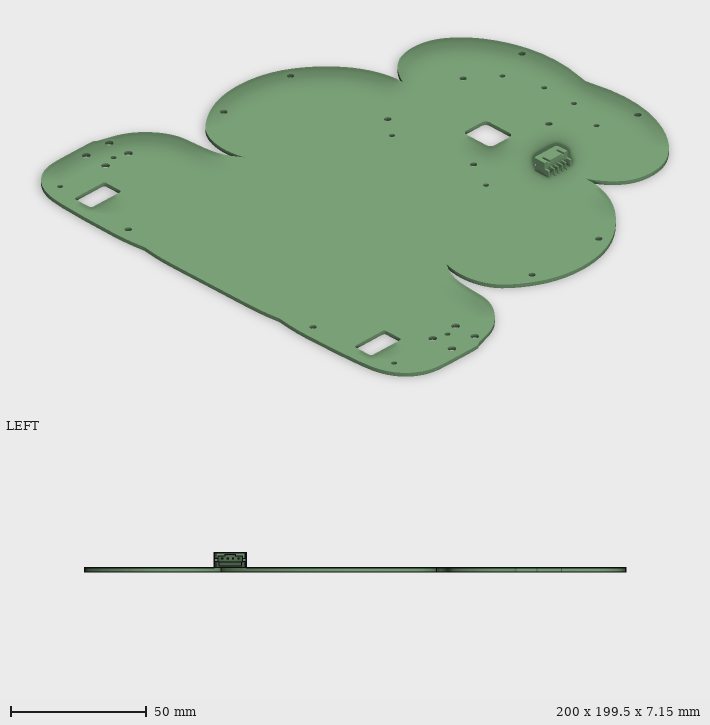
import cadquery as cq

BOARD_WIDTH = 200.0
BOARD_HEIGHT = 199.46
BOARD_THICKNESS = 1.6
HALF_WIDTH = BOARD_WIDTH / 2
TOP = BOARD_HEIGHT / 2
BOTTOM = -TOP

CROWN_NOTCH = (0, 97.2)
NECK = (47.3, 49.4)
WAIST = (52.2, -28.6)

SOLE_NOTCH_X = 35.0
SOLE_NOTCH_RISE = 1.1
SOLE_NOTCH_REACH = 15.0
SOLE_OUTER = (SOLE_NOTCH_X + SOLE_NOTCH_REACH, BOTTOM)
SOLE_NOTCH = (SOLE_NOTCH_X, BOTTOM + SOLE_NOTCH_RISE)
SOLE_INNER = (SOLE_NOTCH_X - SOLE_NOTCH_REACH, BOTTOM)

FOOT_SIDE_TOP = (HALF_WIDTH, -67.0)
FOOT_SIDE_BOTTOM = (HALF_WIDTH, -76.0)

HEAD = [CROWN_NOTCH, (8.4, 98.9), (17.6, TOP - 0.01), (31.5, 98.2), (43.2, 93.9), (54.4, 85.9),
        (60.3, 77.1), (61.7, 69.0), (59.9, 60.6), (54.8, 54.1), NECK]
BELLY = [NECK, (58.0, 47.9), (67.2, 43.6), (77.0, 35.2), (85.4, 22.7), (89.0, 5.2),
         (86.3, -9.8), (81.2, -19.2), (75.5, -25.5), (66.0, -29.5), (58.5, -29.8), WAIST]
FOOT_TOP = [WAIST, (57.4, -31.8), (69.0, -34.5), (81.5, -36.0), (90.9, -42.2), (96.9, -52.0),
            (99.1, -59.0), FOOT_SIDE_TOP]
FOOT_BOTTOM = [FOOT_SIDE_BOTTOM, (98.8, -86.0), (94.7, -92.5), (88.2, -96.8), (76.0, -99.0),
               (65.0, -99.5), SOLE_OUTER]

WAIST_DIRECTION = (1.0, -0.65)
DOWN = (0, -1)
LEFT = (-1, 0)

SMALL_HOLE = 2.2
MEDIUM_HOLE = 2.7
LARGE_HOLE = 3.2
SMALL_CENTRES = [(7.7, 83.2), (24.4, 78.2), (24.4, 20.3), (86.6, -62.7), (86.6, -90.7)]
MEDIUM_CENTRES = [(30.0, 94.2), (79.9, 23.3), (79.9, -11.7), (47.9, -94.1)]
MOTOR_CENTRE = (89.8, -62.7)
MOTOR_PITCH_X = 10.0
MOTOR_PITCH_Y = 12.0

CONTROLLER_CENTRE = (-11.2, 47.0)
CONTROLLER_PITCH_X = 44.5
CONTROLLER_PITCH_Y = 39.5

WINDOW_Y = 46.05
WINDOW_WIDTH = 14.5
WINDOW_HEIGHT = 12.0
WINDOW_RADIUS = 2.0
SLOT_CENTRE = (72.6, -85.1)
SLOT_WIDTH = 9.0
SLOT_HEIGHT = 16.0
SLOT_RADIUS = 0.9

SOCKET_FRONT = 29.7
SOCKET_Y = WINDOW_Y
SOCKET_WIDTH = 11.9
OVERALL_HEIGHT = 7.15
SOCKET_HEIGHT = OVERALL_HEIGHT - BOARD_THICKNESS
SOCKET_DEPTH = 5.5
CORNER_CHAMFER = 0.6
WING_DEPTH = 7.6
WING_THICKNESS = 0.8
WING_HEIGHT = 2.8

CAVITY_DEPTH = 4.5
CAVITY_WIDTH = 9.0
CAVITY_BOTTOM = 2.1
CAVITY_TOP = 4.3
KEYWAY_WIDTH = 3.8
KEYWAY_TOP = 4.9
LOWER_RECESS_WIDTH = 8.2
LOWER_RECESS_BOTTOM = 0.7
LOWER_RECESS_DEPTH = 3.0

SIDE_NOTCH_DEPTH = 1.1
SIDE_NOTCH_BOTTOM = 2.3
SIDE_NOTCH_HEIGHT = 1.1
TOP_SLOT_START = 2.1
TOP_SLOT_WIDTH = 1.0
TOP_SLOT_HEIGHT = 0.9
TOP_SLOT_OFFSET = 3.7

CONTACT_COUNT = 4
CONTACT_PITCH = 2.0
CONTACT_SIZE = 0.5
PIN_Z = 3.4
TAIL_Z = 2.5
PIN_START = 1.0
TAIL_BEND = 7.8
TAIL_END = 8.4


def mirrored(points):
    return [(-x, y) for x, y in points]


def sole_flank(side):
    """Middle point of the flank on the outer (1) or inner (-1) side of the sole notch."""
    return (SOLE_NOTCH_X + side * SOLE_NOTCH_REACH / 2, BOTTOM + SOLE_NOTCH_RISE / 4)


def board_blank():
    """Right half of the outline, clockwise from the crown notch, joined to its mirror image."""
    right_half = (
        cq.Workplane("XY")
        .moveTo(*CROWN_NOTCH)
        .spline(HEAD[1:], includeCurrent=True)
        .spline(BELLY[1:], includeCurrent=True)
        .spline(FOOT_TOP[1:], tangents=[WAIST_DIRECTION, DOWN], includeCurrent=True)
        .lineTo(*FOOT_SIDE_BOTTOM)
        .spline(FOOT_BOTTOM[1:], tangents=[DOWN, LEFT], includeCurrent=True)
        .threePointArc(sole_flank(1), SOLE_NOTCH)
        .threePointArc(sole_flank(-1), SOLE_INNER)
        .lineTo(0, BOTTOM)
        .close()
        .extrude(BOARD_THICKNESS)
    )
    return right_half.union(right_half.mirror("YZ"))


def grid(centre, pitch_x, pitch_y):
    """Corners of a rectangular hole pattern."""
    return [(centre[0] + sx * pitch_x / 2, centre[1] + sy * pitch_y / 2)
            for sx in (-1, 1) for sy in (-1, 1)]


def both_sides(points):
    return points + mirrored(points)


def drills(centres, diameter):
    return cq.Workplane("XY").pushPoints(centres).circle(diameter / 2).extrude(BOARD_THICKNESS)


def windows(centres, width, height, radius):
    cutter = cq.Workplane("XY").pushPoints(centres).rect(width, height).extrude(BOARD_THICKNESS)
    return cutter.edges("|Z").fillet(radius)


def make_board():
    motor_holes = grid(MOTOR_CENTRE, MOTOR_PITCH_X, MOTOR_PITCH_Y)
    controller_holes = grid(CONTROLLER_CENTRE, CONTROLLER_PITCH_X, CONTROLLER_PITCH_Y)
    board = board_blank()
    board = board.cut(drills(both_sides(SMALL_CENTRES), SMALL_HOLE))
    board = board.cut(drills(both_sides(MEDIUM_CENTRES) + controller_holes, MEDIUM_HOLE))
    board = board.cut(drills(both_sides(motor_holes), LARGE_HOLE))
    board = board.cut(windows([(0, WINDOW_Y)], WINDOW_WIDTH, WINDOW_HEIGHT, WINDOW_RADIUS))
    return board.cut(windows(both_sides([SLOT_CENTRE]), SLOT_WIDTH, SLOT_HEIGHT, SLOT_RADIUS))


def socket_block(x_range, y_centre, width, z_range):
    """Block placed from the mating face (X), the socket's middle (Y) and the board top (Z)."""
    length = x_range[1] - x_range[0]
    height = z_range[1] - z_range[0]
    block = cq.Workplane("XY").box(length, width, height, centered=(False, True, False))
    return block.translate(
        (SOCKET_FRONT + x_range[0], SOCKET_Y + y_centre, BOARD_THICKNESS + z_range[0]))


def socket_housing():
    housing = socket_block((0, SOCKET_DEPTH), 0, SOCKET_WIDTH, (0, SOCKET_HEIGHT))
    housing = housing.edges("|Z and <X").chamfer(CORNER_CHAMFER)
    wing_offset = (SOCKET_WIDTH - WING_THICKNESS) / 2
    for side in (-1, 1):
        wing = socket_block(
            (SOCKET_DEPTH, WING_DEPTH), side * wing_offset, WING_THICKNESS, (0, WING_HEIGHT))
        housing = housing.union(wing)
    return housing


def socket_openings():
    """Mating cavity with its keyway and lower recess, side notches and top slots."""
    openings = socket_block((0, CAVITY_DEPTH), 0, CAVITY_WIDTH, (CAVITY_BOTTOM, CAVITY_TOP))
    keyway = socket_block((0, CAVITY_DEPTH), 0, KEYWAY_WIDTH, (CAVITY_BOTTOM, KEYWAY_TOP))
    lower_recess = socket_block(
        (0, LOWER_RECESS_DEPTH), 0, LOWER_RECESS_WIDTH, (LOWER_RECESS_BOTTOM, CAVITY_BOTTOM))
    side_notches = socket_block(
        (0, SIDE_NOTCH_DEPTH), 0, SOCKET_WIDTH,
        (SIDE_NOTCH_BOTTOM, SIDE_NOTCH_BOTTOM + SIDE_NOTCH_HEIGHT))
    openings = openings.union(keyway).union(lower_recess).union(side_notches)
    for side in (-1, 1):
        top_slot = socket_block(
            (TOP_SLOT_START, SOCKET_DEPTH), side * TOP_SLOT_OFFSET, TOP_SLOT_WIDTH,
            (SOCKET_HEIGHT - TOP_SLOT_HEIGHT, SOCKET_HEIGHT))
        openings = openings.union(top_slot)
    return openings


def contact(y):
    """Square pin in the cavity, whose tail leaves the back wall and bends to a foot on the board."""
    half = CONTACT_SIZE / 2
    bend_start = TAIL_BEND - CONTACT_SIZE
    pin = socket_block((PIN_START, SOCKET_DEPTH), y, CONTACT_SIZE, (PIN_Z - half, PIN_Z + half))
    tail = socket_block((CAVITY_DEPTH, TAIL_BEND), y, CONTACT_SIZE, (TAIL_Z - half, TAIL_Z + half))
    leg = socket_block((bend_start, TAIL_BEND), y, CONTACT_SIZE, (0, TAIL_Z + half))
    foot = socket_block((bend_start, TAIL_END), y, CONTACT_SIZE, (0, CONTACT_SIZE))
    return pin.union(tail).union(leg).union(foot)


def make_connector():
    connector = socket_housing().cut(socket_openings())
    for index in range(CONTACT_COUNT):
        y = (index - (CONTACT_COUNT - 1) / 2) * CONTACT_PITCH
        connector = connector.union(contact(y))
    return connector


board = make_board()
connector = make_connector()
result = cq.Compound.makeCompound([board.solids().val(), connector.solids().val()])